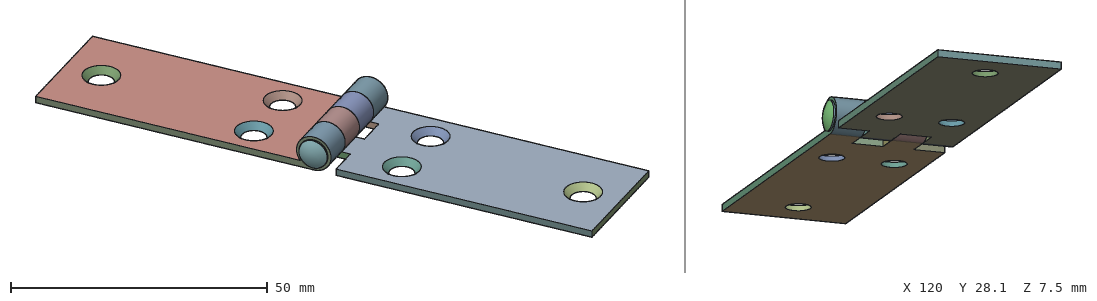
import cadquery as cq
import math

hinge_length = 120.0
leaf_width = 25.7
leaf_thickness = 1.5
knuckle_clearance_x = 4.8

barrel_diameter = 7.5
pin_diameter = barrel_diameter - 2 * leaf_thickness
head_diameter = 6.1
head_rim_height = 0.4
head_height = 1.2
knuckle_count = 4

hole_diameter = 5.0
countersink_diameter = 7.5
outer_hole_x = 52.0
inner_hole_x = 16.0
inner_hole_y = 6.5

barrel_radius = barrel_diameter / 2
knuckle_length = leaf_width / knuckle_count
front_y = -leaf_width / 2


def cylinder_along_y(diameter, start_y, length):
    """Cylinder on the hinge axis, running toward +Y from start_y."""
    return (
        cq.Workplane("XZ", origin=(0, start_y, barrel_radius))
        .circle(diameter / 2)
        .extrude(-length)
    )


def make_knuckle(side, index):
    """One knuckle of the barrel with the strip that joins it to its leaf."""
    start_y = front_y + index * knuckle_length
    strip = cq.Workplane("XY").box(
        knuckle_clearance_x, knuckle_length, leaf_thickness, centered=False
    ).translate((0 if side > 0 else -knuckle_clearance_x, start_y, 0))
    return strip.union(cylinder_along_y(barrel_diameter, start_y, knuckle_length))


def screw_hole_cutter():
    """Cone through the whole leaf, widening toward the top face."""
    hole_radius = hole_diameter / 2
    profile = (
        cq.Workplane("XZ")
        .lineTo(hole_radius, 0)
        .lineTo(countersink_diameter / 2, leaf_thickness)
        .lineTo(0, leaf_thickness)
        .close()
    )
    return profile.revolve(360, (0, 0, 0), (0, 1, 0))


def make_leaf(side, first_knuckle):
    """Countersunk plate on one side (-1 or +1) with every second knuckle."""
    plate_length = hinge_length / 2 - knuckle_clearance_x
    leaf = cq.Workplane("XY").box(
        plate_length, leaf_width, leaf_thickness, centered=(True, True, False)
    ).translate((side * (knuckle_clearance_x + plate_length / 2), 0, 0))
    for index in range(first_knuckle, knuckle_count, 2):
        leaf = leaf.union(make_knuckle(side, index))
    leaf = leaf.cut(cylinder_along_y(pin_diameter, front_y, leaf_width))
    hole_points = [
        (side * outer_hole_x, 0),
        (side * inner_hole_x, inner_hole_y),
        (side * inner_hole_x, -inner_hole_y),
    ]
    for x, y in hole_points:
        leaf = leaf.cut(screw_hole_cutter().translate((x, y, 0)))
    return leaf


def make_pin():
    """Pin with a domed, straight-rimmed head on each end of the barrel."""
    head_radius = head_diameter / 2
    pin_radius = pin_diameter / 2
    under_head = leaf_width / 2
    rim_top = under_head + head_rim_height
    tip = under_head + head_height
    dome_height = head_height - head_rim_height
    dome_radius = (head_radius**2 + dome_height**2) / (2 * dome_height)
    mid_angle = math.asin(head_radius / dome_radius) / 2
    mid_x = dome_radius * math.sin(mid_angle)
    mid_y = tip - dome_radius * (1 - math.cos(mid_angle))
    profile = (
        cq.Workplane("XY")
        .moveTo(0, -tip)
        .threePointArc((mid_x, -mid_y), (head_radius, -rim_top))
        .lineTo(head_radius, -under_head)
        .lineTo(pin_radius, -under_head)
        .lineTo(pin_radius, under_head)
        .lineTo(head_radius, under_head)
        .lineTo(head_radius, rim_top)
        .threePointArc((mid_x, mid_y), (0, tip))
        .close()
    )
    return profile.revolve(360, (0, 0, 0), (0, 1, 0)).translate((0, 0, barrel_radius))


left_leaf = make_leaf(side=-1, first_knuckle=0)
right_leaf = make_leaf(side=1, first_knuckle=1)
pin = make_pin()

result = cq.Compound.makeCompound([left_leaf.val(), right_leaf.val(), pin.val()])